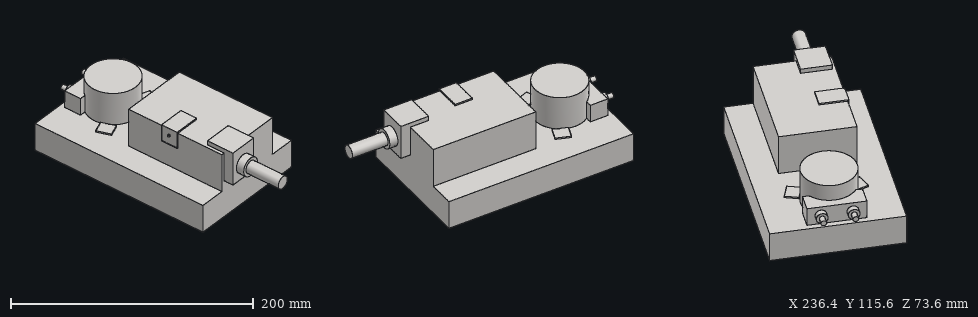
import cadquery as cq


plate_length = 178.5
plate_width = 115.6
plate_thickness = 27.7

drum_x = 36.0
drum_diameter = 48.0
drum_height = 32.2
boss_diameter = 34.0
boss_height = 3.8

terminal_x = 5.0
terminal_length = 17.0
terminal_width = 50.5
terminal_height = 17.0
pin_spacing = 27.0
pin_z = 8.8
pin_diameter = 5.0
pin_length = 6.6
collar_diameter = 10.0

pad_angle = 70
pad_radial_start = 24.5
pad_radial_length = 12.3
pad_width = 14.0
pad_offset = 4.5
pad_thickness = 1.5

housing_length = 99.0
housing_width = 66.2
housing_height = 37.8

tab_x = 115.2
tab_width = 16.5
tab_reach = 24.4
tab_drop = 15.1
tab_top_thickness = 1.5
tab_front_thickness = 1.0
stud_z = 32.5
stud_diameter = 2.0
stud_length = 1.5

bracket_overlap = 17.7
bracket_overhang = 9.2
bracket_width = 27.0
bracket_y = -16.5
bracket_bottom_z = 9.2
bracket_top_thickness = 4.3
cable_z = 24.0
gland_diameter = 18.0
gland_length = 7.8
cable_diameter = 12.0
cable_length = 34.3


def block(x, y, z, length, width, height):
    """Box whose minimum corner is at (x, y, z)."""
    return cq.Workplane("XY").box(length, width, height, centered=False).translate((x, y, z))


def rod_along_x(x, y, z, diameter, length):
    """Cylinder starting at (x, y, z) and running toward +X."""
    return cq.Workplane("YZ", origin=(x, y, z)).circle(diameter / 2).extrude(length)


def make_drum():
    drum = cq.Workplane("XY").circle(drum_diameter / 2).extrude(drum_height)
    boss = cq.Workplane("XY").circle(boss_diameter / 2).extrude(-plate_thickness - boss_height)
    return drum.union(boss).translate((drum_x, 0, 0))


def make_terminal():
    terminal = block(terminal_x, -terminal_width / 2, 0, terminal_length, terminal_width, terminal_height)
    for y in (-pin_spacing / 2, pin_spacing / 2):
        terminal = terminal.union(rod_along_x(0, y, pin_z, collar_diameter, terminal_x))
        terminal = terminal.union(rod_along_x(-pin_length, y, pin_z, pin_diameter, pin_length))
    return terminal


def make_pads():
    pad = block(pad_radial_start, -pad_offset - pad_width / 2, 0, pad_radial_length, pad_width, pad_thickness)
    pad = pad.rotate((0, 0, 0), (0, 0, 1), pad_angle).translate((drum_x, 0, 0))
    return pad.union(pad.mirror("XZ"))


def make_housing():
    return block(plate_length - housing_length, -housing_width / 2, 0,
                 housing_length, housing_width, housing_height)


def make_tab():
    front_y = -housing_width / 2 - tab_front_thickness
    top = block(tab_x, front_y, housing_height,
                tab_width, tab_reach + tab_front_thickness, tab_top_thickness)
    front = block(tab_x, front_y, housing_height - tab_drop,
                  tab_width, tab_front_thickness, tab_drop + tab_top_thickness)
    stud = cq.Workplane("XZ", origin=(tab_x + tab_width / 2, front_y, stud_z))
    stud = stud.circle(stud_diameter / 2).extrude(stud_length)
    return top.union(front).union(stud)


def make_cable_bracket():
    bracket_top_z = housing_height + bracket_top_thickness
    bracket_end_x = plate_length + bracket_overhang
    front_y = bracket_y - bracket_width / 2
    top = block(plate_length - bracket_overlap, front_y, housing_height,
                bracket_overlap + bracket_overhang, bracket_width, bracket_top_thickness)
    leg = block(plate_length, front_y, bracket_bottom_z,
                bracket_overhang, bracket_width, bracket_top_z - bracket_bottom_z)
    gland = rod_along_x(bracket_end_x, bracket_y, cable_z, gland_diameter, gland_length)
    cable = rod_along_x(bracket_end_x + gland_length, bracket_y, cable_z, cable_diameter, cable_length)
    return top.union(leg).union(gland).union(cable)


result = block(0, -plate_width / 2, -plate_thickness, plate_length, plate_width, plate_thickness)
for feature in (make_drum(), make_terminal(), make_pads(), make_housing(), make_tab(), make_cable_bracket()):
    result = result.union(feature)